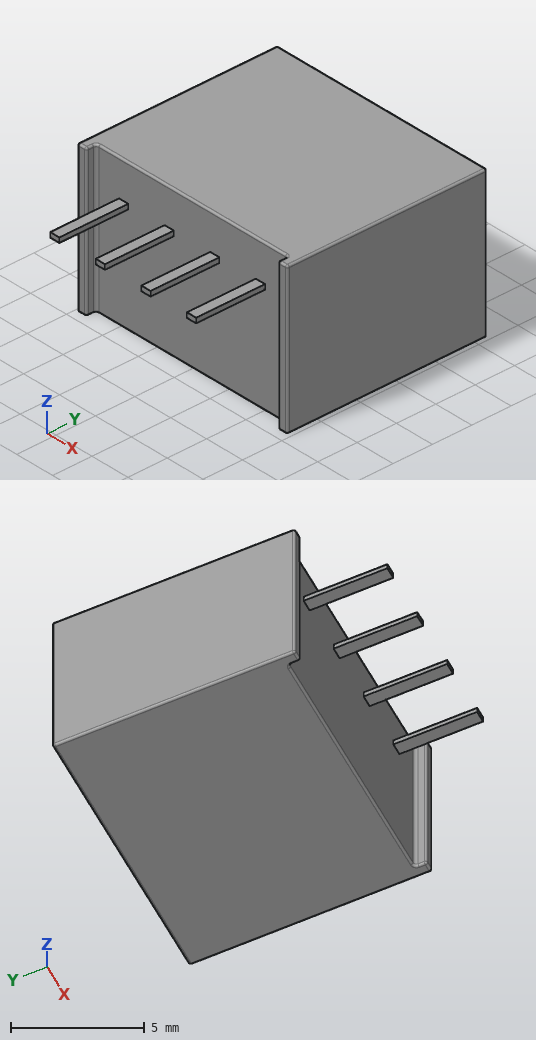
import cadquery as cq

body_width = 11.69
body_depth = 10.16
body_height = 7.5
lip_width = 0.5
recess_depth = 0.5
recess_corner_radius = 0.15
edge_radius = 0.1

overall_depth = 13.16
pin_count = 4
pin_pitch = 2.54
pin_width = 0.51
pin_thickness = 0.25
pin_below_top = 1.97

pin_length = overall_depth - body_depth + recess_depth
pin_embed = 0.26
pin_z = body_height - pin_below_top


def make_housing():
    """Block with a full-height front recess and every edge rounded."""
    block = cq.Workplane("XY").box(body_width, body_depth, body_height, centered=(True, False, False))
    recess = cq.Workplane("XY").box(
        body_width - 2 * lip_width, recess_depth, body_height, centered=(True, False, False)
    )
    recess = recess.edges("|Z and >Y").fillet(recess_corner_radius)
    housing = block.cut(recess)
    housing = housing.edges("|Z and (<Y or >Y)").fillet(edge_radius)
    return housing.faces("<Z or >Z").edges().fillet(edge_radius)


def make_pins():
    """Evenly spaced flat pins pointing toward -Y."""
    pin_tip_y = recess_depth - pin_length
    return (
        cq.Workplane("XY")
        .rarray(pin_pitch, 0.13, pin_count, 1)
        .box(pin_width, pin_length + pin_embed, pin_thickness, centered=(True, False, True))
        .translate((0, pin_tip_y, pin_z))
    )


result = make_housing().union(make_pins())